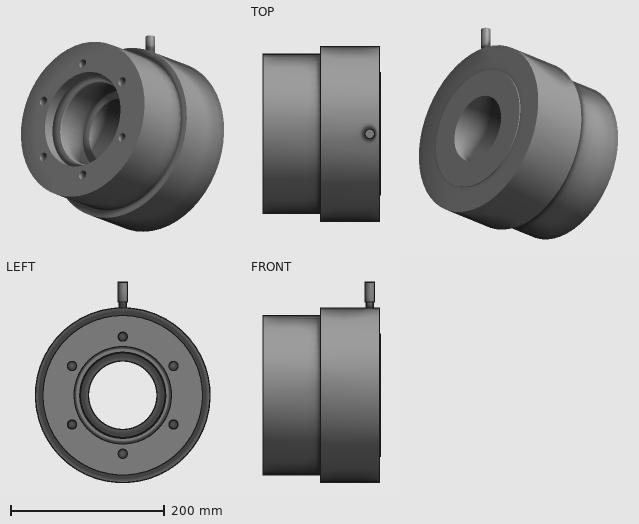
import cadquery as cq
import math

front_radius = 104.0
front_length = 75.0
rear_radius = 114.0
body_length = 152.0
lip_radius = 80.0
overall_length = 153.42

recess_radius = 63.5
recess_depth = 15.5
groove_radius = 75.0
groove_width = 7.0
seat_radius = 55.0
seat_chamfer = 1.2
seat_end = 68.0
through_radius = 44.5

hole_count = 6
hole_radius = 6.0
hole_depth = 12.0
hole_circle_radius = 76.3
mouth_radius = 5.6
mouth_depth = 5.0

pin_x = 139.3
pin_height = 33.37
pin_top = rear_radius + pin_height
pin_root = 5.0
stem_radius = 4.75
grip_radius = 6.25
grip_length = 26.0


def revolve_about_x(steps):
    """Solid of revolution about X from the (x, radius) points of its outline."""
    start_x = steps[0][0]
    end_x = steps[-1][0]
    profile = cq.Workplane("XZ").polyline([(start_x, 0), *steps, (end_x, 0)]).close()
    return profile.revolve(360, (0, 0, 0), (1, 0, 0))


def make_body():
    """Front drum, wider rear drum and the thin lip on the back face."""
    return revolve_about_x([
        (0, front_radius),
        (front_length, front_radius),
        (front_length, rear_radius),
        (body_length, rear_radius),
        (body_length, lip_radius),
        (overall_length, lip_radius),
    ])


def make_bore():
    """Entry recess, undercut groove, chamfered seat and through hole."""
    groove_end = recess_depth + groove_width
    return revolve_about_x([
        (0, recess_radius),
        (recess_depth, recess_radius),
        (recess_depth, groove_radius),
        (groove_end, groove_radius),
        (groove_end, seat_radius + seat_chamfer),
        (groove_end + seat_chamfer, seat_radius),
        (seat_end, seat_radius),
        (seat_end, through_radius),
        (overall_length, through_radius),
    ])


def hole_cylinder(angle, radius, start, end):
    """Cylinder along X between two depths, placed on the hole circle."""
    y = hole_circle_radius * math.cos(angle)
    z = hole_circle_radius * math.sin(angle)
    return cq.Workplane("YZ", origin=(start, y, z)).circle(radius).extrude(end - start)


def make_face_holes():
    holes = cq.Workplane("YZ")
    for index in range(hole_count):
        angle = math.radians(90 + index * 360 / hole_count)
        has_narrow_mouth = index % 2 == 0
        front_hole_radius = mouth_radius if has_narrow_mouth else hole_radius
        holes = holes.union(hole_cylinder(angle, front_hole_radius, 0, mouth_depth))
        holes = holes.union(hole_cylinder(angle, hole_radius, mouth_depth, hole_depth))
    return holes.clean()


def upright_cylinder(radius, bottom, top):
    """Cylinder along Z on the pin axis."""
    return cq.Workplane("XY", origin=(pin_x, 0, bottom)).circle(radius).extrude(top - bottom)


def make_pin():
    """Stem rooted inside the drum wall, with a thicker grip on its end."""
    grip_bottom = pin_top - grip_length
    stem = upright_cylinder(stem_radius, rear_radius - pin_root, grip_bottom)
    grip = upright_cylinder(grip_radius, grip_bottom, pin_top)
    return stem.union(grip)


result = make_body().cut(make_bore()).cut(make_face_holes()).union(make_pin())